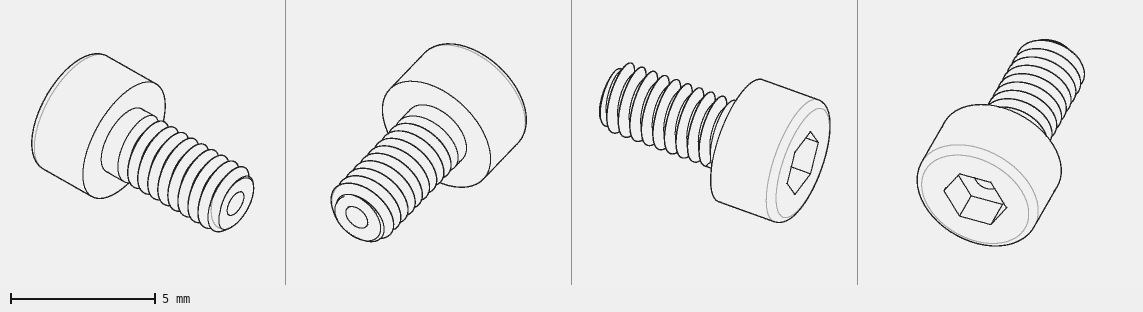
import cadquery as cq
import math

total_length = 7.43
head_diameter = 4.5
head_length = 2.43
head_edge_radius = 0.25
shank_diameter = 2.5
tip_chamfer = 0.25

socket_across_flats = 2.02
socket_depth = 1.09
bore_diameter = 0.915

ten_turn_advance = 4.5
thread_pitch = ten_turn_advance / 10
crest_width = 0.015
thread_half_angle = 30
side_root_position = 3.17
thread_start_angle = -45
groove_overhang = 0.01

shank_radius = shank_diameter / 2
thread_start = side_root_position + thread_pitch * thread_start_angle / 360
groove_width = thread_pitch - crest_width
groove_depth = groove_width / 2 / math.tan(math.radians(thread_half_angle))


def make_head():
    """Cylindrical head with a rounded outer edge."""
    head = cq.Workplane("YZ").circle(head_diameter / 2).extrude(head_length)
    return head.faces("<X").edges().fillet(head_edge_radius)


def make_shank_rod(end):
    """Plain cylinder from the underside of the head to the given X position."""
    start_plane = cq.Workplane("YZ").workplane(offset=head_length)
    return start_plane.circle(shank_radius).extrude(end - head_length)


def make_thread_groove():
    """Triangular helical cutter that runs out past the tip, bounded by ruled faces between three helices."""
    groove_length = total_length + thread_pitch - thread_start
    outer_radius = shank_radius + groove_overhang
    outer_width = groove_width * (groove_depth + groove_overhang) / groove_depth
    profile = [
        (shank_radius - groove_depth, 0),
        (outer_radius, -outer_width / 2),
        (outer_radius, outer_width / 2),
    ]
    helices = [
        cq.Wire.makeHelix(thread_pitch, groove_length, radius, center=cq.Vector(0, 0, height))
        for radius, height in profile
    ]
    sides = [cq.Face.makeRuledSurface(helices[i - 1], helices[i]) for i in range(len(helices))]
    ends = [
        cq.Face.makeFromWires(cq.Wire.makePolygon([helix.positionAt(end) for helix in helices], close=True))
        for end in (0, 1)
    ]
    groove = cq.Workplane(cq.Solid.makeSolid(cq.Shell.makeShell(sides + ends)))
    groove = groove.rotate((0, 0, 0), (0, 1, 0), 90)
    groove = groove.rotate((0, 0, 0), (1, 0, 0), 90 + thread_start_angle)
    return groove.translate((thread_start, 0, 0))


def make_threaded_shank():
    """Shank threaded on an overlong rod, so the groove ends inside it, then trimmed to the chamfered tip."""
    rod = make_shank_rod(total_length + 2 * thread_pitch)
    outline = make_shank_rod(total_length).faces(">X").edges().chamfer(tip_chamfer)
    return rod.cut(make_thread_groove()).intersect(outline)


def make_socket():
    """Hexagonal recess with two corners on the Y axis."""
    across_corners = socket_across_flats / math.cos(math.pi / 6)
    return cq.Workplane("YZ").polygon(6, across_corners).extrude(socket_depth)


bore = cq.Workplane("YZ").circle(bore_diameter / 2).extrude(total_length)

result = make_head().union(make_threaded_shank()).cut(make_socket()).cut(bore)